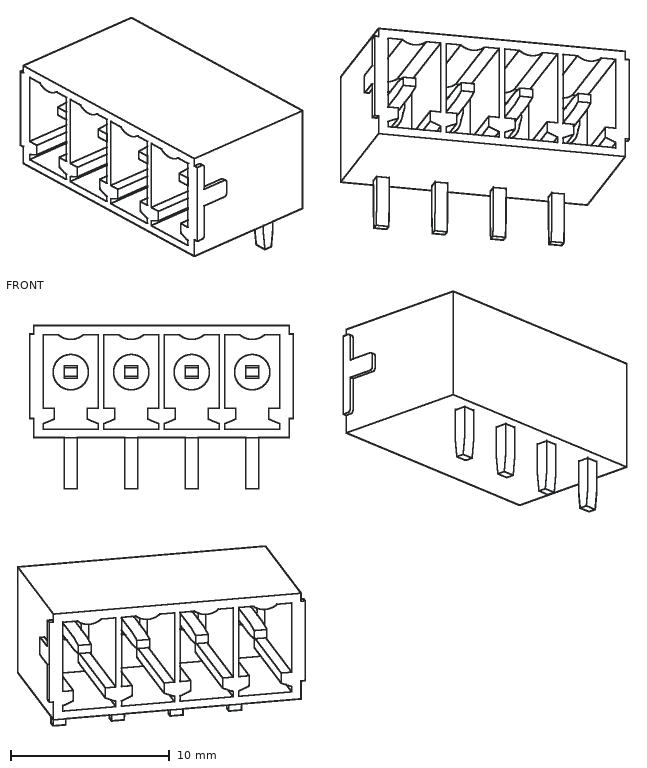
import cadquery as cq


contact_count = 4
contact_pitch = 3.8
contact_positions = [(i - (contact_count - 1) / 2) * contact_pitch for i in range(contact_count)]

overall_width = 16.63
rail_thickness = 0.27
housing_width = overall_width - 2 * rail_thickness
housing_depth = 9.2
housing_height = 7.07

rail_bar_depth = 0.6
rail_bar_bottom = 1.2
rail_bar_top = 6.54
rail_arm_depth = 2.5
rail_arm_bottom = 3.55
rail_arm_top = 4.74
rail_corner_radius = 0.2

pocket_width = 3.45
pocket_bottom = 0.53
pocket_top = 6.47
pocket_depth = 6.98

key_width = 1.56
key_drop = 0.28

ledge_width = 0.68
ledge_top = 1.85
ledge_edge_bottom = 1.16
ledge_wall_bottom = 0.88

boss_base_diameter = 2.23
boss_shoulder_diameter = 1.65
boss_height = 1.66
boss_round_radius = 0.18

pin_width = 0.83
pin_thickness = 0.8
pin_axis_height = 4.12
pin_front = 1.2
leg_axis_depth = 8.0
leg_length = 3.23
pin_tip_thickness = 0.55
pin_taper_length = 1.16


def make_rail():
    """T-shaped plate in the YZ plane, its foot flush with the open face."""
    rail = (
        cq.Workplane("YZ")
        .moveTo(0, rail_bar_bottom)
        .lineTo(rail_bar_depth, rail_bar_bottom)
        .lineTo(rail_bar_depth, rail_arm_bottom)
        .lineTo(rail_arm_depth, rail_arm_bottom)
        .lineTo(rail_arm_depth, rail_arm_top)
        .lineTo(rail_bar_depth, rail_arm_top)
        .lineTo(rail_bar_depth, rail_bar_top)
        .lineTo(0, rail_bar_top)
        .close()
        .extrude(rail_thickness)
    )
    for depth, height in (
        (rail_bar_depth, rail_bar_bottom),
        (rail_bar_depth, rail_bar_top),
        (rail_arm_depth, rail_arm_bottom),
        (rail_arm_depth, rail_arm_top),
    ):
        corner = cq.selectors.NearestToPointSelector((rail_thickness / 2, depth, height))
        rail = rail.edges("|X").edges(corner).fillet(rail_corner_radius)
    return rail


def make_pocket(x):
    """Space of one pocket, with its roof key and side ledges left out."""
    half_width = pocket_width / 2
    ledge_edge = half_width - ledge_width
    return (
        cq.Workplane("XZ", origin=(x, 0, 0))
        .moveTo(-half_width, pocket_bottom)
        .lineTo(half_width, pocket_bottom)
        .lineTo(half_width, ledge_wall_bottom)
        .lineTo(ledge_edge, ledge_edge_bottom)
        .lineTo(ledge_edge, ledge_top)
        .lineTo(half_width, ledge_top)
        .lineTo(half_width, pocket_top)
        .lineTo(key_width / 2, pocket_top)
        .threePointArc((0, pocket_top - key_drop), (-key_width / 2, pocket_top))
        .lineTo(-half_width, pocket_top)
        .lineTo(-half_width, ledge_top)
        .lineTo(-ledge_edge, ledge_top)
        .lineTo(-ledge_edge, ledge_edge_bottom)
        .lineTo(-half_width, ledge_wall_bottom)
        .close()
        .extrude(-pocket_depth)
    )


def make_boss(x):
    """Cone narrowing toward the open face, with a rounded front rim."""
    cone = cq.Solid.makeCone(
        boss_base_diameter / 2,
        boss_shoulder_diameter / 2,
        boss_height,
        pnt=cq.Vector(x, pocket_depth, pin_axis_height),
        dir=cq.Vector(0, -1, 0),
    )
    return cq.Workplane(cone).faces("<Y").edges().fillet(boss_round_radius)


def make_pin(x):
    """L-shaped pin: one arm along Y into the pocket, one leg down; both ends taper."""
    half = pin_thickness / 2
    half_tip = pin_tip_thickness / 2
    arm_taper_end = pin_front + pin_taper_length
    leg_taper_end = pin_taper_length - leg_length
    return (
        cq.Workplane("YZ", origin=(x - pin_width / 2, 0, 0))
        .moveTo(pin_front, pin_axis_height + half_tip)
        .lineTo(arm_taper_end, pin_axis_height + half)
        .lineTo(leg_axis_depth + half, pin_axis_height + half)
        .lineTo(leg_axis_depth + half, leg_taper_end)
        .lineTo(leg_axis_depth + half_tip, -leg_length)
        .lineTo(leg_axis_depth - half_tip, -leg_length)
        .lineTo(leg_axis_depth - half, leg_taper_end)
        .lineTo(leg_axis_depth - half, pin_axis_height - half)
        .lineTo(arm_taper_end, pin_axis_height - half)
        .lineTo(pin_front, pin_axis_height - half_tip)
        .close()
        .extrude(pin_width)
    )


def make_housing(pins):
    """Block with end rails, pockets and bosses, and a matching hole for each pin."""
    housing = cq.Workplane("XY").box(
        housing_width, housing_depth, housing_height, centered=(True, False, False)
    )
    rail = make_rail()
    housing = housing.union(rail.translate((housing_width / 2, 0, 0)))
    housing = housing.union(rail.translate((-overall_width / 2, 0, 0)))
    for x in contact_positions:
        housing = housing.cut(make_pocket(x)).union(make_boss(x))
    for pin in pins:
        housing = housing.cut(pin)
    return housing


pins = [make_pin(x) for x in contact_positions]
housing = make_housing(pins)

result = cq.Compound.makeCompound([housing.val(), *[pin.val() for pin in pins]])